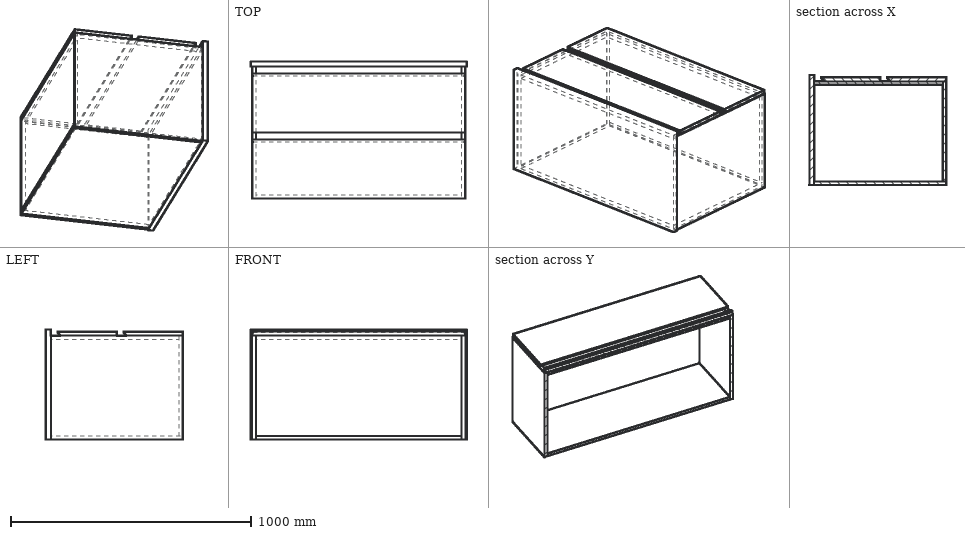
import cadquery as cq


worktop_length = 900.0
total_depth = 572.0
worktop_width = 460.0

worktop_thickness = 22.5
worktop_overhang = 5.0
worktop_edge_radius = 3.0

panel_thickness = 16.0
front_setback = 10.0

drawer_count = 2
grip_gap = 28.0
grip_lip = 4.5
grip_bevel = 12.0
front_side_reveal = 3.0

carcass_length = worktop_length - 2 * worktop_overhang
carcass_height = total_depth - worktop_thickness
carcass_top = worktop_width - front_setback - panel_thickness
inner_length = carcass_length - 2 * panel_thickness
front_length = carcass_length - 2 * front_side_reveal
front_pitch = carcass_height / drawer_count
front_height = front_pitch - grip_gap


def centered_panel(length, height, thickness, y_start, z_start):
    """Board centred on X, placed by its lowest Y and Z."""
    board = cq.Workplane("XY").box(length, height, thickness, centered=(True, False, False))
    return board.translate((0, y_start, z_start))


def make_worktop():
    """Slab whose end, outer and front edges are slightly rounded."""
    slab = centered_panel(worktop_length, worktop_thickness, worktop_width, carcass_height, 0)
    exposed_edges = slab.edges("(>X and >Y) or (<X and >Y) or (>X and >Z) or (<X and >Z) or (>Y and >Z)")
    return exposed_edges.fillet(worktop_edge_radius)


def make_side_panel(side):
    """End board of the carcass; side is -1 for left and +1 for right."""
    board = centered_panel(panel_thickness, carcass_height, carcass_top, 0, 0)
    return board.translate((side * (carcass_length - panel_thickness) / 2, 0, 0))


def make_back_panel():
    """Board between the side panels on the wall side."""
    return centered_panel(inner_length, carcass_height, panel_thickness, 0, 0)


def make_floor_panel():
    """Board between the side panels that closes the carcass at -Y."""
    return centered_panel(
        inner_length, panel_thickness, carcass_top - panel_thickness, 0, panel_thickness
    )


def make_facing_panel():
    """Board behind the drawer fronts, flush with the edges of the side panels."""
    return centered_panel(
        inner_length,
        carcass_height - panel_thickness,
        panel_thickness,
        panel_thickness,
        carcass_top - panel_thickness,
    )


def make_drawer_front(index):
    """Board with a square lip and an undercut grip edge that overhangs the finger gap."""
    y_start = index * front_pitch
    y_lip = y_start + front_height
    z_face = carcass_top + panel_thickness
    return (
        cq.Workplane("YZ")
        .moveTo(y_start, carcass_top)
        .lineTo(y_lip - grip_bevel, carcass_top)
        .lineTo(y_lip, z_face - grip_lip)
        .lineTo(y_lip, z_face)
        .lineTo(y_start, z_face)
        .close()
        .extrude(front_length / 2, both=True)
    )


worktop = make_worktop()
side_panels = [make_side_panel(side) for side in (-1, 1)]
back_panel = make_back_panel()
floor_panel = make_floor_panel()
facing_panel = make_facing_panel()
drawer_fronts = [make_drawer_front(index) for index in range(drawer_count)]

result = cq.Compound.makeCompound([
    worktop.val(),
    *[panel.val() for panel in side_panels],
    back_panel.val(),
    floor_panel.val(),
    facing_panel.val(),
    *[front.val() for front in drawer_fronts],
])